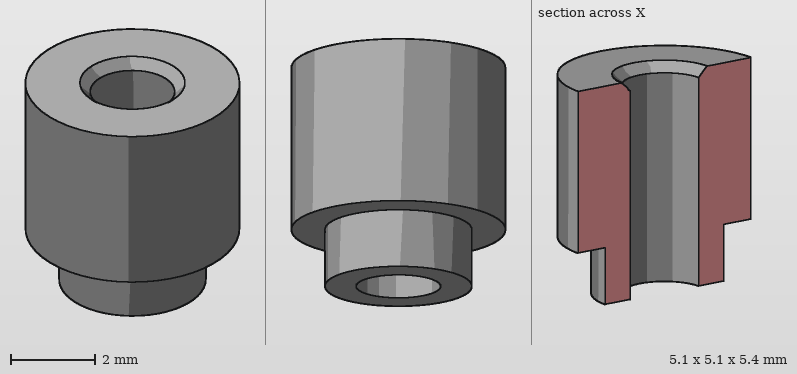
import cadquery as cq

total_height = 5.4
spigot_height = 1.4
body_height = total_height - spigot_height

body_diameter = 5.1
spigot_diameter = 3.5
bore_diameter = 2.01
countersink_diameter = 2.5

countersink_depth = (countersink_diameter - bore_diameter) / 2

spigot = cq.Workplane("XY").circle(spigot_diameter / 2).extrude(spigot_height)
bushing = spigot.faces(">Z").workplane().circle(body_diameter / 2).extrude(body_height)

bored = bushing.faces(">Z").workplane().hole(bore_diameter)
result = bored.faces(">Z").edges("%CIRCLE").edges(cq.selectors.RadiusNthSelector(0)).chamfer(
    countersink_depth
)